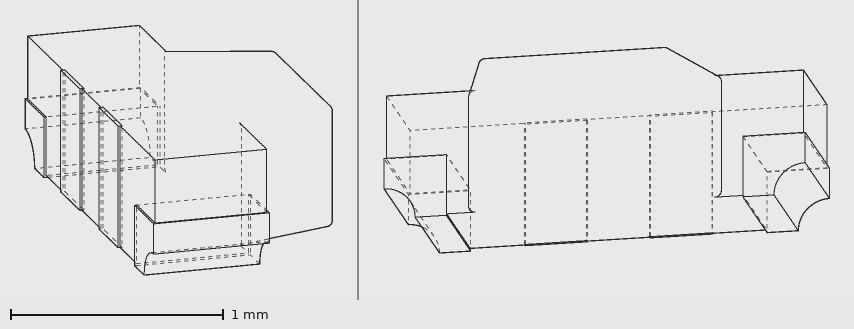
import cadquery as cq

overall_length = 2.02
overall_depth = 1.06
plating = 0.01

housing_length = overall_length - 2 * plating
housing_depth = 0.55
housing_height = 0.6

lens_depth = overall_depth - plating - housing_depth
lens_base_width = 1.212
lens_tip_width = 0.905
lens_fillet = 0.03

terminal_width = 0.299
terminal_height = 0.299
terminal_depth = housing_depth + 2 * plating
notch_radius = terminal_width / 2

pad_width = 0.299
pad_spacing = 0.6
pad_thickness = 2 * plating


def make_terminal(side):
    """End terminal with a quarter-round notch; side is -1 for the -X end, +1 for the +X end."""
    outer_x = side * overall_length / 2
    inner_x = outer_x - side * terminal_width
    bottom_z = -plating

    block = (
        cq.Workplane("XZ", origin=(0, -plating, 0))
        .moveTo((outer_x + inner_x) / 2, bottom_z + terminal_height / 2)
        .rect(terminal_width, terminal_height)
        .extrude(-terminal_depth)
    )
    notch = (
        cq.Workplane("XZ", origin=(0, -plating, 0))
        .moveTo(outer_x, bottom_z)
        .circle(notch_radius)
        .extrude(-terminal_depth)
    )
    return block.cut(notch)


def make_terminal_seat(side):
    """Corner of the housing taken up by a terminal, including its notch."""
    centre_x = side * (overall_length - terminal_width) / 2
    return (
        cq.Workplane("XY", origin=(centre_x, housing_depth / 2, -plating))
        .rect(terminal_width, terminal_depth)
        .extrude(terminal_height)
    )


def make_pad(side):
    """Full-height front pad; side is -1 for the -X pad, +1 for the +X pad."""
    return (
        cq.Workplane("XY", origin=(side * pad_spacing / 2, 0, 0))
        .rect(pad_width, pad_thickness)
        .extrude(housing_height)
    )


def make_lens():
    """Tapered lens with every edge rounded except those on its base."""
    lens = (
        cq.Workplane("XY", origin=(0, housing_depth, 0))
        .moveTo(-lens_base_width / 2, 0)
        .lineTo(lens_base_width / 2, 0)
        .lineTo(lens_tip_width / 2, lens_depth)
        .lineTo(-lens_tip_width / 2, lens_depth)
        .close()
        .extrude(housing_height)
    )
    return lens.edges("not <Y").fillet(lens_fillet)


def make_housing(pads):
    """Block and lens in one piece, with seats for the terminals and recesses for the pads."""
    block = (
        cq.Workplane("XY", origin=(0, housing_depth / 2, 0))
        .rect(housing_length, housing_depth)
        .extrude(housing_height)
    )
    for side in (-1, 1):
        block = block.cut(make_terminal_seat(side))
    for pad in pads:
        block = block.cut(pad)
    return block.union(make_lens(), clean=False)


terminals = [make_terminal(side) for side in (-1, 1)]
pads = [make_pad(side) for side in (-1, 1)]
housing = make_housing(pads)

result = cq.Compound.makeCompound(
    [
        housing.solids().val(),
        *[terminal.solids().val() for terminal in terminals],
        *[pad.val() for pad in pads],
    ]
)